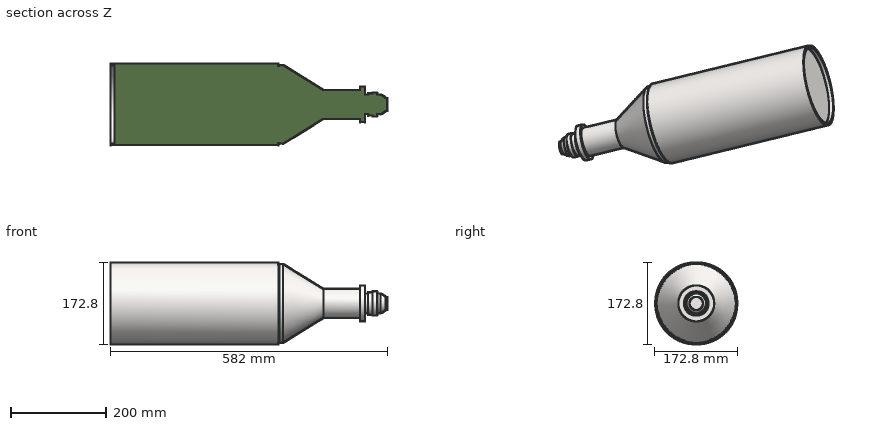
import cadquery as cq

body_radius = 86.4
barrel_end_x = 353.0

recess_radius = 82.0
recess_depth = 9.0

seat_radius = 83.0
seat_groove_radius = 81.5
seat_groove_width = 2.0
cone_start_x = 363.0
cone_end_x = 447.5

neck_radius = 31.0
flange_radius = 38.0
flange_start_x = 524.0
flange_end_x = 535.0

stem_radius = 21.0
collar_start_x = 541.5
collar_step_x = 550.5
collar_end_x = 561.0
collar_small_radius = 24.0
collar_large_radius = 25.5
collar_chamfer = 1.0
nose_start_x = 568.0
nose_mid_x = 573.5
nose_mid_radius = 18.0
nose_end_x = 578.0
tip_radius = 14.0
tip_end_x = 582.0


def turned_profile():
    """Closed half outline, drawn as (position along X, radius)."""
    seat_x = barrel_end_x + seat_groove_width
    return (
        cq.Workplane("XY")
        .moveTo(recess_depth, 0)
        .lineTo(recess_depth, recess_radius)
        .lineTo(0, recess_radius)
        .lineTo(0, body_radius)
        .lineTo(barrel_end_x, body_radius)
        .lineTo(barrel_end_x, seat_groove_radius)
        .lineTo(seat_x, seat_groove_radius)
        .lineTo(seat_x, seat_radius)
        .lineTo(cone_start_x, seat_radius)
        .lineTo(cone_end_x, neck_radius)
        .lineTo(flange_start_x, neck_radius)
        .lineTo(flange_start_x, flange_radius)
        .lineTo(flange_end_x, flange_radius)
        .lineTo(flange_end_x, stem_radius)
        .lineTo(collar_start_x, stem_radius)
        .lineTo(collar_start_x, collar_small_radius)
        .lineTo(collar_step_x, collar_small_radius)
        .lineTo(collar_step_x, collar_large_radius)
        .lineTo(collar_end_x - collar_chamfer, collar_large_radius)
        .lineTo(collar_end_x, collar_large_radius - collar_chamfer)
        .lineTo(collar_end_x, stem_radius)
        .lineTo(nose_start_x, stem_radius)
        .threePointArc((nose_mid_x, nose_mid_radius), (nose_end_x, tip_radius))
        .lineTo(tip_end_x, tip_radius)
        .lineTo(tip_end_x, 0)
        .close()
    )


result = turned_profile().revolve(360, (0, 0, 0), (1, 0, 0))